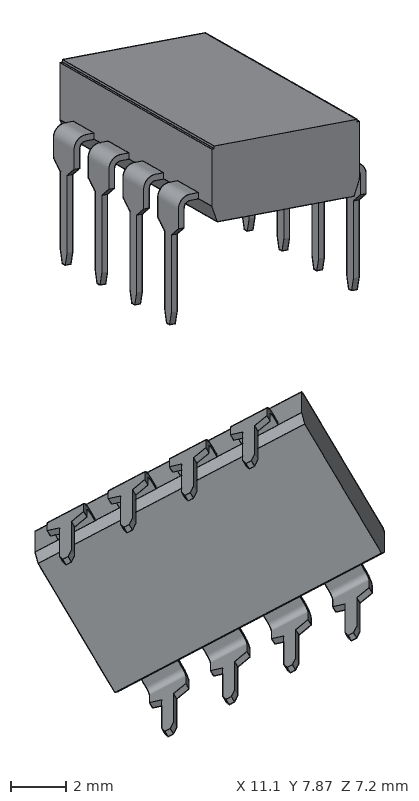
import cadquery as cq


body_length = 11.1
row_span = 7.87
total_height = 7.2

body_width = 6.19
body_height = 2.94
step_inset = 0.1
step_height = 0.1
underside_inset = 0.23
underside_height = 0.64
body_bottom = total_height - body_height

pins_per_row = 4
pin_pitch = 2.54
lead_thickness = 0.24
lead_top = 5.14
bend_radius = 0.5
inner_bend_radius = bend_radius - lead_thickness
embed_depth = 0.22

wide_half = 1.52 / 2
shaft_half = 0.5 / 2
tip_half = 0.22 / 2
shoulder_top = 3.88
shoulder_bottom = 3.5
tip_height = 0.51


def make_body():
    """Body with a stepped top and a tapered underside along both long sides."""
    half_width = body_width / 2
    right_side = [
        (half_width - underside_inset, body_bottom),
        (half_width, body_bottom + underside_height),
        (half_width, total_height - step_height),
        (half_width - step_inset, total_height - step_height),
        (half_width - step_inset, total_height),
    ]
    left_side = [(-y, z) for y, z in reversed(right_side)]
    section = cq.Workplane("YZ").polyline(right_side + left_side).close()
    return section.extrude(body_length / 2, both=True)


def make_pin():
    """Pin on the +Y side at X = 0, rooted just inside the body."""
    outer_y = row_span / 2
    inner_y = outer_y - lead_thickness
    root_y = body_width / 2 - embed_depth
    bend_z = lead_top - bend_radius
    bent_strip = (
        cq.Workplane("YZ")
        .moveTo(root_y, lead_top)
        .lineTo(outer_y - bend_radius, lead_top)
        .radiusArc((outer_y, bend_z), bend_radius)
        .lineTo(outer_y, 0)
        .lineTo(inner_y, 0)
        .lineTo(inner_y, bend_z)
        .radiusArc((inner_y - inner_bend_radius, lead_top - lead_thickness), -inner_bend_radius)
        .lineTo(root_y, lead_top - lead_thickness)
        .close()
        .extrude(wide_half, both=True)
    )
    right_edge = [
        (tip_half, 0),
        (shaft_half, tip_height),
        (shaft_half, shoulder_bottom),
        (wide_half, shoulder_top),
        (wide_half, lead_top),
    ]
    left_edge = [(-x, z) for x, z in reversed(right_edge)]
    outline = (
        cq.Workplane("XZ")
        .polyline(right_edge + left_edge)
        .close()
        .extrude(row_span / 2, both=True)
    )
    return bent_strip.intersect(outline)


result = make_body()
back_pin = make_pin()
front_pin = back_pin.mirror("XZ")
for index in range(pins_per_row):
    pin_x = (index - (pins_per_row - 1) / 2) * pin_pitch
    for pin in (back_pin, front_pin):
        result = result.union(pin.translate((pin_x, 0, 0)))